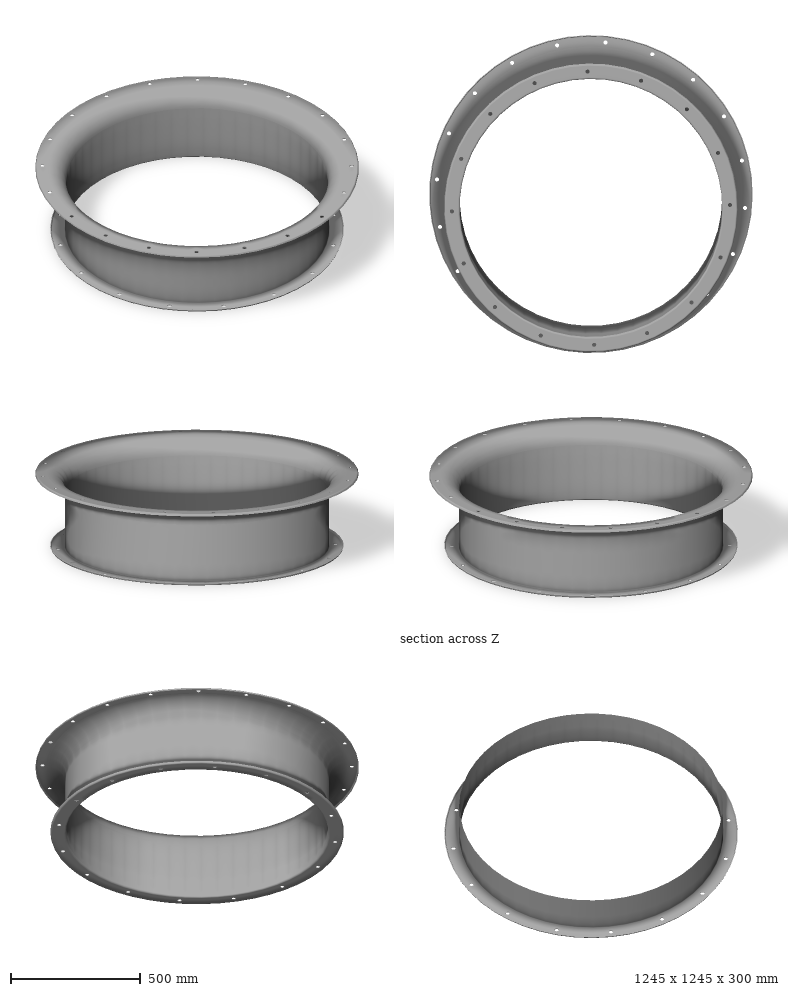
import cadquery as cq
import math

total_height = 300.0
inlet_outer_radius = 622.5
outlet_outer_radius = 565.0

wall = 3.0
bend_inside_radius = 4.0
bend_outside_radius = bend_inside_radius + wall

rim_bend_degrees = 70.0
rim_bend_angle = math.radians(rim_bend_degrees)
rim_inside_radius = 3.0
rim_outside_radius = rim_inside_radius + wall
rim_straight = 4.5

tube_inner_radius = 505.0
tube_outer_radius = tube_inner_radius + wall
mouth_inner_radius = 72.0
mouth_outer_radius = mouth_inner_radius - wall
mouth_rim_radius = tube_inner_radius + mouth_inner_radius
mouth_base_height = total_height - mouth_inner_radius

hole_diameter = 16.0
inlet_hole_count = 20
inlet_hole_circle_radius = 595.0
outlet_hole_count = 16
outlet_hole_circle_radius = 535.0


def arc_point(center, arc_radius, angle, outward, upward):
    """Point (radius, height) on an arc; the angle is measured from the axis direction."""
    return (
        center[0] + outward * arc_radius * math.sin(angle),
        center[1] + upward * arc_radius * math.cos(angle),
    )


def rim_points(outer_radius, face_height, upward):
    """Profile points of a bent rim, from the flange's outer face round to its back.

    The outer face lies at face_height and faces up (upward = 1) or down (-1).
    """
    bend_reach = rim_outside_radius * math.sin(rim_bend_angle)
    straight_reach = rim_straight * math.cos(rim_bend_angle)
    center = (outer_radius - bend_reach - straight_reach, face_height - upward * rim_outside_radius)

    def on_bend(arc_radius, angle):
        return arc_point(center, arc_radius, angle, 1, upward)

    def at_edge(arc_radius):
        radius, height = on_bend(arc_radius, rim_bend_angle)
        drop = rim_straight * math.sin(rim_bend_angle)
        return radius + straight_reach, height - upward * drop

    return {
        "outer_start": on_bend(rim_outside_radius, 0),
        "outer_middle": on_bend(rim_outside_radius, rim_bend_angle / 2),
        "outer_end": on_bend(rim_outside_radius, rim_bend_angle),
        "outer_edge": at_edge(rim_outside_radius),
        "inner_edge": at_edge(rim_inside_radius),
        "inner_end": on_bend(rim_inside_radius, rim_bend_angle),
        "inner_middle": on_bend(rim_inside_radius, rim_bend_angle / 2),
        "inner_start": on_bend(rim_inside_radius, 0),
    }


def make_sheet():
    """Revolve the sheet profile, drawn as (radius, height), about Z."""
    eighth_turn = math.radians(45)
    outlet_rim = rim_points(outlet_outer_radius, 0, -1)
    inlet_rim = rim_points(inlet_outer_radius, total_height, 1)
    bend_center = (tube_inner_radius + bend_outside_radius, bend_outside_radius)
    mouth_center = (mouth_rim_radius, mouth_base_height)
    profile = (
        cq.Workplane("YZ")
        .moveTo(bend_center[0], 0)
        .lineTo(*outlet_rim["outer_start"])
        .threePointArc(outlet_rim["outer_middle"], outlet_rim["outer_end"])
        .lineTo(*outlet_rim["outer_edge"])
        .lineTo(*outlet_rim["inner_edge"])
        .lineTo(*outlet_rim["inner_end"])
        .threePointArc(outlet_rim["inner_middle"], outlet_rim["inner_start"])
        .lineTo(bend_center[0], wall)
        .threePointArc(
            arc_point(bend_center, bend_inside_radius, eighth_turn, -1, -1),
            (tube_outer_radius, bend_center[1]),
        )
        .lineTo(tube_outer_radius, mouth_base_height)
        .threePointArc(
            arc_point(mouth_center, mouth_outer_radius, eighth_turn, -1, 1),
            (mouth_rim_radius, total_height - wall),
        )
        .lineTo(*inlet_rim["inner_start"])
        .threePointArc(inlet_rim["inner_middle"], inlet_rim["inner_end"])
        .lineTo(*inlet_rim["inner_edge"])
        .lineTo(*inlet_rim["outer_edge"])
        .lineTo(*inlet_rim["outer_end"])
        .threePointArc(inlet_rim["outer_middle"], inlet_rim["outer_start"])
        .lineTo(mouth_rim_radius, total_height)
        .threePointArc(
            arc_point(mouth_center, mouth_inner_radius, eighth_turn, -1, 1),
            (tube_inner_radius, mouth_base_height),
        )
        .lineTo(tube_inner_radius, bend_center[1])
        .threePointArc(
            arc_point(bend_center, bend_outside_radius, eighth_turn, -1, -1),
            (bend_center[0], 0),
        )
        .close()
    )
    return profile.revolve(360, (0, 0, 0), (0, 1, 0))


def make_bolt_holes(count, circle_radius, flange_bottom):
    """Cutters on a bolt circle, with the X axis midway between two holes."""
    return (
        cq.Workplane("XY")
        .workplane(offset=flange_bottom)
        .polarArray(circle_radius, 180 / count, 360, count)
        .circle(hole_diameter / 2)
        .extrude(wall)
    )


inlet_holes = make_bolt_holes(inlet_hole_count, inlet_hole_circle_radius, total_height - wall)
outlet_holes = make_bolt_holes(outlet_hole_count, outlet_hole_circle_radius, 0)

result = make_sheet().cut(inlet_holes).cut(outlet_holes)